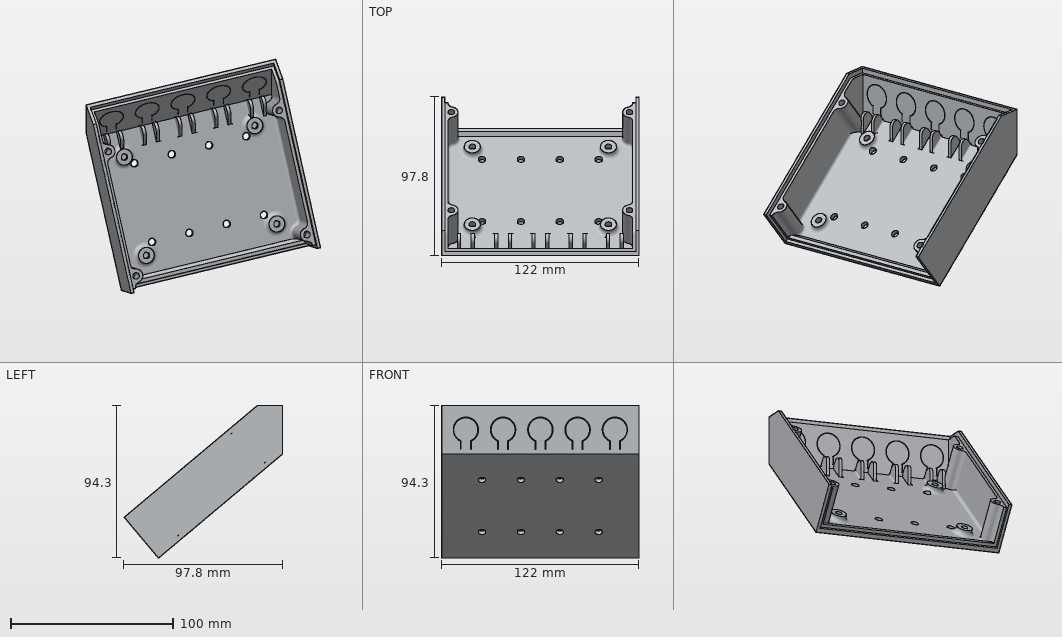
import cadquery as cq
import math


WIDTH = 122.0
TILT = math.radians(40.0)
FLOOR_LENGTH = 100.0
FRONT_HEIGHT = 30.0
DEPTH = 33.0

SIDE_WALL = 2.0
FRONT_WALL = 2.5
FLOOR = 3.0
LINER = 2.0
LID = 3.0
KNEE_RADIUS = 3.5
BACK_LIP_HEIGHT = 2.1
BACK_LIP_WIDTH = 2.4
SIDE_FILLET = 2.0

DIAGONAL = math.sqrt(0.5)

LINER_X = WIDTH / 2 - SIDE_WALL
CAVITY_X = LINER_X - LINER
CAVITY_FRONT = FRONT_WALL + LINER
LEDGE_RISE = DEPTH - LID
LEDGE_HEIGHT = FRONT_HEIGHT - LID
LINER_END = FLOOR_LENGTH - LINER

POST_X = 55.0
FRONT_POST_DOWN = 11.4
BACK_POST_DOWN = 90.4
POST_RADIUS = 4.2
POST_BLEND = 3.5
POST_HOLE = 4.0
POST_HOLE_DEPTH = 15.0

BOSS_X = 42.0
BOSS_DOWNS = (19.4, 81.9)
BOSS_DIAMETER = 10.0
BOSS_HEIGHT = 4.0
BOSS_HOLE = 4.0
BOSS_FILLET = 3.0

FLOOR_HOLE = 4.5
FLOOR_HOLE_PITCH = 24.0
FLOOR_HOLE_COLUMNS = 4
FLOOR_HOLE_DOWNS = (25.0, 75.0)

KEY_COUNT = 5
KEY_PITCH = 23.0
KEY_RADIUS = 7.5
KEY_HALF_TAIL = 3.0
KEY_SLIT = 0.2
KEY_SLIT_BOTTOM = 3.0

RIB_WIDTH = 2.0
RIB_BACK = 13.7
RIB_ROUND = 3.3
RIB_FLAT = 0.35
RIB_TOP = 5.5
RIB_FOOT = 1.0

KEY_XS = [(i - (KEY_COUNT - 1) / 2) * KEY_PITCH for i in range(KEY_COUNT)]


def slope_point(down, rise):
    """(Y, Z) of a point given along and square to the floor."""
    y = down * math.cos(TILT) + rise * math.sin(TILT)
    z = -down * math.sin(TILT) + rise * math.cos(TILT)
    return y, z


def down_along(y, z):
    """Distance down the slope of a (Y, Z) point."""
    return y * math.cos(TILT) - z * math.sin(TILT)


def down_at(y, rise):
    """Distance down the slope at which a given rise has the given Y."""
    return (y - rise * math.sin(TILT)) / math.cos(TILT)


def down_at_height(z, rise):
    """Distance down the slope at which a given rise has the given Z."""
    return (rise * math.cos(TILT) - z) / math.sin(TILT)


def slope_plane(rise):
    """Work plane parallel to the floor: local X is X, local Y runs down the slope."""
    y, z = slope_point(0, rise)
    return cq.Workplane(cq.Plane((0, y, z), (1, 0, 0), (0, math.sin(TILT), math.cos(TILT))))


def side_profile(points, x_min, x_max):
    """Prism along X with a (Y, Z) outline."""
    return cq.Workplane("YZ", origin=(x_min, 0, 0)).polyline(points).close().extrude(x_max - x_min)


def make_outer():
    points = [
        (0, 0),
        slope_point(FLOOR_LENGTH, 0),
        slope_point(FLOOR_LENGTH, DEPTH),
        slope_point(down_at_height(FRONT_HEIGHT, DEPTH), DEPTH),
        (0, FRONT_HEIGHT),
    ]
    return side_profile(points, -WIDTH / 2, WIDTH / 2)


def make_inner_space():
    """Everything between the outer side walls, above the floor and behind the front wall."""
    points = [
        slope_point(down_at(FRONT_WALL, FLOOR), FLOOR),
        slope_point(2 * FLOOR_LENGTH, FLOOR),
        (2 * FLOOR_LENGTH, 2 * FRONT_HEIGHT),
        (FRONT_WALL, 2 * FRONT_HEIGHT),
    ]
    return side_profile(points, -LINER_X, LINER_X)


def make_liner_block(half_width):
    """The liner's side outline, rounded at the knee, as a solid block."""
    knee = slope_point(down_at_height(LEDGE_HEIGHT, LEDGE_RISE), LEDGE_RISE)
    points = [
        slope_point(down_at(FRONT_WALL, FLOOR), FLOOR),
        slope_point(LINER_END, FLOOR),
        slope_point(LINER_END, LEDGE_RISE),
        knee,
        (FRONT_WALL, LEDGE_HEIGHT),
    ]
    block = side_profile(points, -half_width, half_width)
    knee_edge = cq.selectors.NearestToPointSelector((0, *knee))
    return block.edges(knee_edge).fillet(KNEE_RADIUS)


def make_cavity():
    """Space inside the liner, with a 45 degree slope up to the back lip."""
    lip_start = LINER_END - BACK_LIP_WIDTH
    lip_rise = FLOOR + BACK_LIP_HEIGHT
    points = [
        slope_point(down_at(CAVITY_FRONT, FLOOR), FLOOR),
        slope_point(lip_start - BACK_LIP_HEIGHT, FLOOR),
        slope_point(lip_start, lip_rise),
        slope_point(FLOOR_LENGTH, lip_rise),
        (2 * FLOOR_LENGTH, 2 * FRONT_HEIGHT),
        (CAVITY_FRONT, 2 * FRONT_HEIGHT),
    ]
    return side_profile(points, -CAVITY_X, CAVITY_X)


def make_post(side, down, rise):
    """Screw post blended into a side wall by hollow rounds, from a rise up to the ledge."""
    blend_x = CAVITY_X - POST_BLEND
    reach = POST_RADIUS + POST_BLEND
    offset = math.sqrt(reach**2 - (POST_X - blend_x) ** 2)
    towards = math.atan2(offset, blend_x - POST_X)
    joint_x = POST_X + POST_RADIUS * math.cos(towards)
    joint = POST_RADIUS * math.sin(towards)
    half_turn = (math.pi - towards) / 2
    mid_x = blend_x + POST_BLEND * math.cos(half_turn)
    mid = offset - POST_BLEND * math.sin(half_turn)
    outer_x = CAVITY_X + LINER
    return (
        slope_plane(rise)
        .moveTo(side * outer_x, down - offset)
        .lineTo(side * CAVITY_X, down - offset)
        .threePointArc((side * mid_x, down - mid), (side * joint_x, down - joint))
        .threePointArc((side * (POST_X - POST_RADIUS), down), (side * joint_x, down + joint))
        .threePointArc((side * mid_x, down + mid), (side * CAVITY_X, down + offset))
        .lineTo(side * outer_x, down + offset)
        .close()
        .extrude(LEDGE_RISE - rise)
    )


def round_floor_edges(body):
    """Round the foot of the side walls and of the back posts, as far as the front posts."""
    edge_end = BACK_POST_DOWN - POST_RADIUS - POST_BLEND
    edge_y, edge_z = slope_point((edge_end + down_at(CAVITY_FRONT, FLOOR)) / 2, FLOOR)
    for side in (-1, 1):
        wall_foot = cq.selectors.NearestToPointSelector((side * CAVITY_X, edge_y, edge_z))
        body = body.edges(wall_foot).fillet(SIDE_FILLET)
    sharp_zone = slope_plane(0).center(0, FRONT_POST_DOWN - FLOOR_LENGTH / 2)
    sharp_zone = sharp_zone.rect(WIDTH, FLOOR_LENGTH).extrude(FLOOR + SIDE_FILLET)
    return body.cut(make_cavity().intersect(sharp_zone))


def make_boss(x, down):
    """Board boss with a rounded foot, turned about its axis."""
    radius = BOSS_DIAMETER / 2
    foot_radius = radius + BOSS_FILLET
    bend = BOSS_FILLET * DIAGONAL
    section = (
        cq.Workplane("XZ")
        .moveTo(0, -FLOOR / 2)
        .lineTo(foot_radius, -FLOOR / 2)
        .lineTo(foot_radius, 0)
        .threePointArc((foot_radius - bend, BOSS_FILLET - bend), (radius, BOSS_FILLET))
        .lineTo(radius, BOSS_HEIGHT)
        .lineTo(0, BOSS_HEIGHT)
        .close()
    )
    boss = section.revolve(360, (0, 0, 0), (0, 1, 0))
    location = slope_plane(FLOOR).plane.location
    return boss.val().located(location * cq.Location(cq.Vector(x, down, 0)))


def make_rib(key_x, side):
    """Round-topped rib beside a key tail, with a rounded foot on its outer side."""
    back_centre_y = RIB_BACK - RIB_ROUND
    front_centre_y = back_centre_y - RIB_FLAT
    centre_z = RIB_TOP - RIB_ROUND
    front_down = down_along(front_centre_y, centre_z) - RIB_ROUND
    tangent_y = front_centre_y - RIB_ROUND * math.cos(TILT)
    tangent_z = centre_z + RIB_ROUND * math.sin(TILT)
    bend = RIB_ROUND * DIAGONAL
    lean = (math.pi / 2 - TILT) / 2
    front_mid_y = front_centre_y - RIB_ROUND * math.sin(lean)
    front_mid_z = centre_z + RIB_ROUND * math.cos(lean)
    base = FLOOR / 2
    inner_x = key_x + side * (KEY_HALF_TAIL + KEY_SLIT)
    rib = (
        cq.Workplane("YZ", origin=(inner_x, 0, 0))
        .moveTo(*slope_point(front_down, base))
        .lineTo(tangent_y, tangent_z)
        .threePointArc((front_mid_y, front_mid_z), (front_centre_y, RIB_TOP))
        .lineTo(back_centre_y, RIB_TOP)
        .threePointArc((back_centre_y + bend, centre_z + bend), (RIB_BACK, centre_z))
        .lineTo(*slope_point(down_at(RIB_BACK, base), base))
        .close()
        .extrude(side * RIB_WIDTH)
    )
    outer_x = inner_x + side * RIB_WIDTH
    if abs(outer_x) > POST_X - POST_RADIUS:
        return rib
    foot_bend = RIB_FOOT * (1 - DIAGONAL)
    foot = (
        cq.Workplane(slope_plane(0).plane.rotated((90, 0, 0)))
        .moveTo(outer_x, base)
        .lineTo(outer_x + side * RIB_FOOT, base)
        .lineTo(outer_x + side * RIB_FOOT, FLOOR)
        .threePointArc(
            (outer_x + side * foot_bend, FLOOR + foot_bend),
            (outer_x, FLOOR + RIB_FOOT),
        )
        .close()
        .extrude(-2 * RIB_BACK)
    )
    limits = cq.Workplane().box(WIDTH, RIB_BACK - FRONT_WALL, 2 * FRONT_HEIGHT)
    limits = limits.translate((0, (RIB_BACK + FRONT_WALL) / 2, 0))
    return rib.union(foot.intersect(limits))


def make_key_slit(key_x):
    """Slit through the front wall around a round key with a straight tail."""
    centre_z = FRONT_HEIGHT / 2

    def key_shape(grow):
        round_part = cq.Workplane("XZ").center(key_x, centre_z).circle(KEY_RADIUS + grow)
        tail_height = centre_z - KEY_SLIT_BOTTOM
        tail = cq.Workplane("XZ").center(key_x, centre_z - tail_height / 2)
        tail = tail.rect(2 * (KEY_HALF_TAIL + grow), tail_height)
        return round_part.extrude(-CAVITY_FRONT).union(tail.extrude(-CAVITY_FRONT))

    return key_shape(KEY_SLIT).cut(key_shape(0))


def drill(rise, points, diameter, depth):
    """Holes drilled down, square to the floor, from a given rise."""
    return slope_plane(rise).pushPoints(points).circle(diameter / 2).extrude(-depth)


def mirrored(x, downs):
    """Points on both sides of the middle at each distance down the slope."""
    return [(side * x, down) for side in (-1, 1) for down in downs]


result = make_outer().cut(make_inner_space())
result = result.union(make_liner_block(LINER_X).cut(make_cavity()))
for side in (-1, 1):
    result = result.union(make_post(side, BACK_POST_DOWN, FLOOR))
result = round_floor_edges(result)

for side in (-1, 1):
    result = result.union(make_post(side, FRONT_POST_DOWN, FLOOR / 2))
for x, down in mirrored(BOSS_X, BOSS_DOWNS):
    result = result.union(make_boss(x, down))
for key_x in KEY_XS:
    for side in (-1, 1):
        result = result.union(make_rib(key_x, side))

for key_x in KEY_XS:
    result = result.cut(make_key_slit(key_x))
post_points = mirrored(POST_X, (FRONT_POST_DOWN, BACK_POST_DOWN))
result = result.cut(drill(LEDGE_RISE, post_points, POST_HOLE, POST_HOLE_DEPTH))
boss_points = mirrored(BOSS_X, BOSS_DOWNS)
result = result.cut(drill(FLOOR + BOSS_HEIGHT, boss_points, BOSS_HOLE, BOSS_HEIGHT))
hole_xs = [(i - (FLOOR_HOLE_COLUMNS - 1) / 2) * FLOOR_HOLE_PITCH for i in range(FLOOR_HOLE_COLUMNS)]
floor_points = [(x, down) for x in hole_xs for down in FLOOR_HOLE_DOWNS]
result = result.cut(drill(FLOOR + BOSS_FILLET, floor_points, FLOOR_HOLE, FLOOR + BOSS_FILLET))